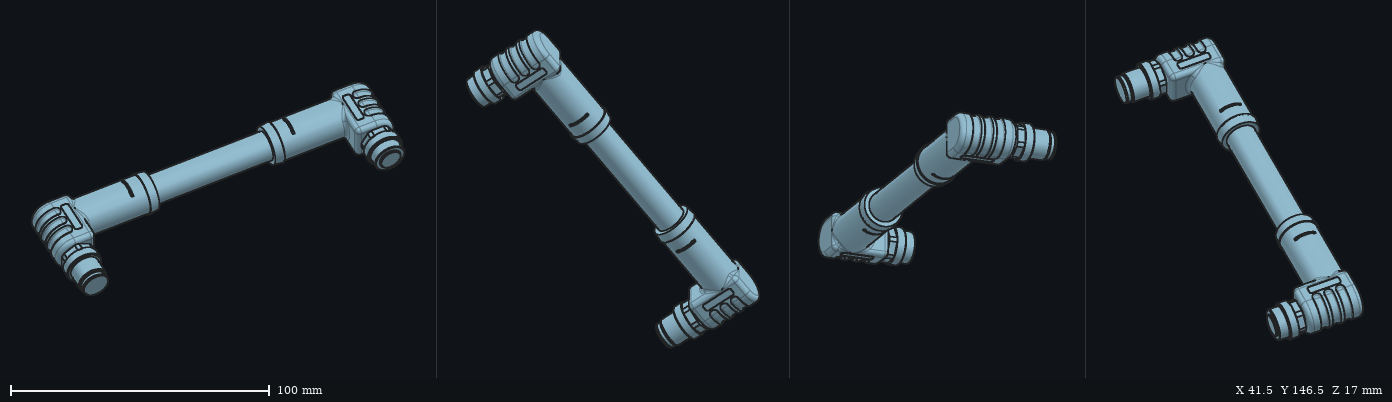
import cadquery as cq

overall_length = 146.5
cable_diameter = 12.2
sleeve_diameter = 16.0
sleeve_radius = sleeve_diameter / 2

head_y_end = overall_length / 2
head_overhang = 0.03
head_half_height = sleeve_radius + head_overhang
head_nose_y = head_y_end - head_half_height
head_y_inner = 56.4
head_x_min = -head_half_height
head_x_max = 15.5
head_edge_fillet = 2.0

sleeve_y_end = 59.0
flare_radius = 1.5
seam_margin = 0.1

collar_y_end = 25.0
collar_y_max = 29.0
collar_diameter = 17.0

sleeve_slot_y = 34.9
sleeve_slot_width = 0.9
sleeve_slot_depth = 1.3

grip_count = 3
grip_pitch = 5.0
grip_middle_x = 3.7
grip_width = 3.5
grip_depth = 0.6
grip_floor_fillet = 0.5
grip_y_start = 63.3

label_length = 13.3
label_width = 3.2
label_corner = 0.9
label_depth = 0.22
label_y = 61.0

plug_axis_y = 65.0
neck_diameter = 9.4
nut_x_start = 16.3
nut_corner_diameter = 13.9
nut_apothem = 6.5
rim_x_start = 19.3
rim_x_end = 23.1
rim_diameter = 15.0
rim_chamfer = 0.5

socket_steps = [(12.7, 27.2), (9.0, 28.0)]
socket_chamfer = 0.3
pin_steps = [(12.0, 29.9), (10.5, 30.6), (11.0, 32.2), (10.5, 33.0)]
pin_chamfer = 0


def x_cylinder(diameter, x_start, x_end):
    """Cylinder along the plug axis."""
    plane = cq.Workplane("YZ", origin=(x_start, plug_axis_y, 0))
    return plane.circle(diameter / 2).extrude(x_end - x_start)


def head_prism(y_inner, inset=0.0):
    """Head cross-section with a half-round outer end, drawn inward by inset and run along X."""
    half_height = head_half_height - inset
    return (
        cq.Workplane("YZ", origin=(head_x_min, 0, 0))
        .moveTo(y_inner, -half_height)
        .lineTo(head_nose_y, -half_height)
        .threePointArc((head_nose_y + half_height, 0), (head_nose_y, half_height))
        .lineTo(y_inner, half_height)
        .close()
        .extrude(head_x_max - head_x_min)
    )


def make_head():
    head = head_prism(head_y_inner).faces("<X or >X or <Y").edges().fillet(head_edge_fillet)
    for recess in (make_grips(), make_labels()):
        head = head.cut(recess)
    return head


def make_grips():
    """Shallow bands around the rounded end, each finishing in a round end above and below."""
    shell = head_prism(head_y_inner).cut(head_prism(head_y_inner, grip_depth))
    radius = grip_width / 2
    straight_start = grip_y_start + radius
    centers = [
        (grip_middle_x + (i - (grip_count - 1) / 2) * grip_pitch, straight_start)
        for i in range(grip_count)
    ]
    round_ends = (
        cq.Workplane("XY").pushPoints(centers).circle(radius).extrude(head_half_height, both=True)
    )
    straight_length = head_y_end - straight_start
    bands = (
        cq.Workplane("XY", origin=(0, straight_length / 2, 0))
        .pushPoints(centers)
        .rect(grip_width, straight_length)
        .extrude(head_half_height, both=True)
    )
    grips = shell.intersect(round_ends.union(bands))
    floor_limit = head_half_height - grip_depth / 2
    floor_edges = cq.selectors.BoxSelector(
        (head_x_min, head_y_inner, -floor_limit),
        (head_x_max, head_y_end - grip_depth / 2, floor_limit),
        boundingbox=True,
    )
    return grips.edges(floor_edges).fillet(grip_floor_fillet)


def make_labels():
    label = (
        cq.Workplane("XY", origin=(grip_middle_x, label_y, head_half_height - label_depth))
        .rect(label_length, label_width)
        .extrude(label_depth)
        .edges("|Z")
        .fillet(label_corner)
    )
    return label.union(label.mirror("XY"))


def make_sleeve():
    """Round sleeve from inside the head to the cable, ending in the tapered collar."""
    return (
        cq.Workplane("XY")
        .moveTo(0, collar_y_end)
        .lineTo(sleeve_radius, collar_y_end)
        .lineTo(collar_diameter / 2, collar_y_max)
        .lineTo(sleeve_radius, collar_y_max)
        .lineTo(sleeve_radius, sleeve_y_end)
        .lineTo(0, sleeve_y_end)
        .close()
        .revolve(360, (0, 0, 0), (0, 1, 0))
    )


def make_sleeve_slots():
    slot_z = sleeve_radius - sleeve_slot_depth / 2
    return (
        cq.Workplane("XZ", origin=(0, sleeve_slot_y + sleeve_slot_width / 2, 0))
        .pushPoints([(0, slot_z), (0, -slot_z)])
        .rect(sleeve_diameter, sleeve_slot_depth)
        .extrude(sleeve_slot_width)
    )


def blend_junction(body):
    """Fillet the seam where the sleeve enters the rounded inner edge of the head."""
    junction = cq.selectors.BoxSelector(
        (-sleeve_radius, head_y_inner - seam_margin, -sleeve_radius),
        (sleeve_radius, sleeve_y_end, sleeve_radius),
        boundingbox=True,
    )
    return body.edges(junction).fillet(flare_radius)


def make_plug(steps, nose_chamfer, nut_turn):
    """Neck, hexagonal nut with turned-down corners, round rim and stepped nose."""
    plug = x_cylinder(neck_diameter, head_x_max - head_edge_fillet, nut_x_start)
    hexagon = (
        cq.Workplane("YZ", origin=(nut_x_start, plug_axis_y, 0))
        .transformed(rotate=(0, 0, nut_turn))
        .polygon(6, 2 * nut_apothem, circumscribed=True)
        .extrude(rim_x_start - nut_x_start)
    )
    plug = plug.union(hexagon.intersect(x_cylinder(nut_corner_diameter, nut_x_start, rim_x_start)))
    rim = x_cylinder(rim_diameter, rim_x_start, rim_x_end)
    plug = plug.union(rim.faces(">X").edges().chamfer(rim_chamfer))
    x_start = rim_x_end
    for diameter, x_end in steps:
        step = x_cylinder(diameter, x_start, x_end)
        if nose_chamfer > 0:
            step = step.faces(">X").edges().chamfer(nose_chamfer)
        plug = plug.union(step)
        x_start = x_end
    return plug


def make_connector(steps, nose_chamfer, nut_turn):
    body = blend_junction(make_head().union(make_sleeve()))
    return body.cut(make_sleeve_slots()).union(make_plug(steps, nose_chamfer, nut_turn))


socket_nut_turn = 30
pin_nut_turn = 0

socket_connector = make_connector(socket_steps, socket_chamfer, socket_nut_turn)
pin_connector = make_connector(pin_steps, pin_chamfer, pin_nut_turn).mirror("XZ")
cable = (
    cq.Workplane("XZ", origin=(0, collar_y_end, 0))
    .circle(cable_diameter / 2)
    .extrude(2 * collar_y_end)
)

result = cable.union(socket_connector).union(pin_connector).solids()